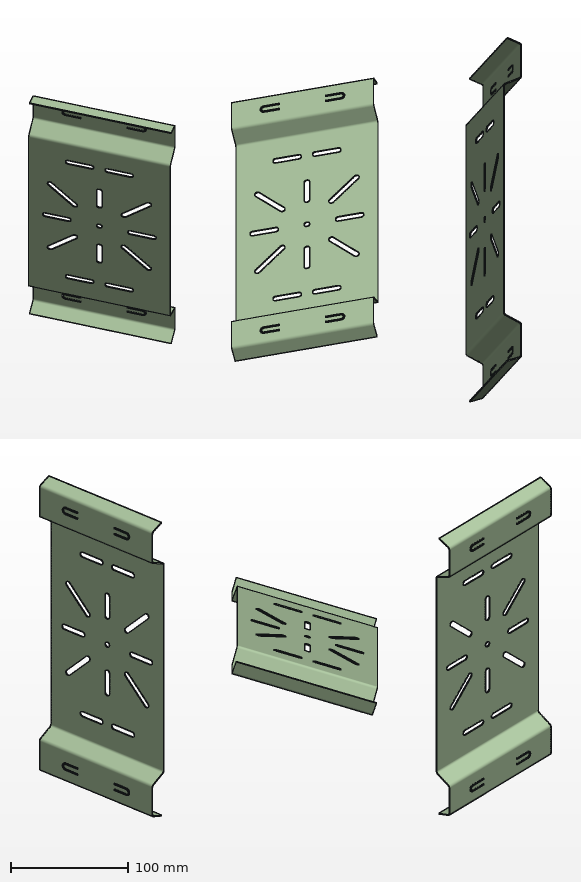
import cadquery as cq
import math

width = 125.0
height = 288.0
depth = 16.0
thickness = 1.0

panel_half_height = 102.5
step_tilt = math.radians(25)
lip_tilt = math.radians(20)
lip_reach = 13.0
bend_radius = 2.15

slot_width = 5.0
slot_length = 25.0
cross_slot_start = 25.0
diagonal_slot_start = 28.2
diagonal_slot_length = 35.7
pair_slot_start = 5.0
pair_slot_height = 78.0

tongue_height = 125.3
tongue_root = 20.5
tongue_tip = 37.2
slit_outer_width = 7.0
slit_gap = 1.2


def sheet():
    """Constant-thickness sheet swept along its bent centreline."""
    half = thickness / 2
    panel_y = half
    land_y = depth - half
    step_bend = math.pi / 2 - step_tilt
    panel_z = panel_half_height - half * math.tan(step_bend / 2)
    land_z = panel_z + (land_y - panel_y) * math.tan(step_tilt)
    tip_y = depth - lip_reach + half * math.sin(lip_tilt)
    tip_z = height / 2 - half * math.cos(lip_tilt)
    lip_z = tip_z - (land_y - tip_y) * math.tan(lip_tilt)

    upper = [(panel_y, panel_z), (land_y, land_z), (land_y, lip_z), (tip_y, tip_z)]
    lower = [(y, -z) for y, z in reversed(upper)]
    corners = [cq.Vector(0, y, z) for y, z in lower + upper]
    centreline = cq.Wire.makePolygon(corners).fillet(bend_radius + half)

    lip_direction = corners[1] - corners[0]
    start = cq.Plane(origin=corners[0], xDir=(1, 0, 0), normal=lip_direction)
    return cq.Workplane(start).rect(width, thickness).sweep(cq.Workplane(centreline))


def cutter(length):
    """Round-ended bar through the full depth, starting at X = 0 and running along +X."""
    return (
        cq.Workplane("XZ", origin=(length / 2, 0, 0))
        .slot2D(length, slot_width)
        .extrude(-depth)
    )


def panel_cuts():
    """Centre hole, eight radial slots and a pair of level slots near each step."""
    cuts = cq.Workplane("XZ").circle(slot_width / 2).extrude(-depth)
    cross = cutter(slot_length).translate((cross_slot_start, 0, 0))
    diagonal = cutter(diagonal_slot_length).translate((diagonal_slot_start, 0, 0))
    quarter_turn = 90
    for quarter in range(4):
        angle = quarter_turn * quarter
        cuts = cuts.add(cross.rotate((0, 0, 0), (0, 1, 0), angle))
        cuts = cuts.add(diagonal.rotate((0, 0, 0), (0, 1, 0), angle + quarter_turn / 2))
    pair_slot = cutter(slot_length)
    for z in (-pair_slot_height, pair_slot_height):
        cuts = cuts.add(pair_slot.translate((pair_slot_start, 0, z)))
        cuts = cuts.add(pair_slot.translate((-pair_slot_start - slot_length, 0, z)))
    return cuts


def tongue_slits():
    """Four U-shaped slits, open towards X = 0, two in each land."""
    outer_radius = slit_outer_width / 2
    inner_radius = outer_radius - slit_gap
    bow_x = tongue_tip - outer_radius
    slit = (
        cq.Workplane("XZ")
        .moveTo(tongue_root, outer_radius)
        .lineTo(bow_x, outer_radius)
        .threePointArc((tongue_tip, 0), (bow_x, -outer_radius))
        .lineTo(tongue_root, -outer_radius)
        .lineTo(tongue_root, -inner_radius)
        .lineTo(bow_x, -inner_radius)
        .threePointArc((bow_x + inner_radius, 0), (bow_x, inner_radius))
        .lineTo(tongue_root, inner_radius)
        .close()
        .extrude(-depth)
    )
    slits = cq.Workplane("XZ")
    for z in (-tongue_height, tongue_height):
        placed = slit.translate((0, 0, z))
        slits = slits.add(placed)
        slits = slits.add(placed.mirror("YZ"))
    return slits


result = sheet()
for cut in panel_cuts().vals() + tongue_slits().vals():
    result = result.cut(cq.Workplane(cut))